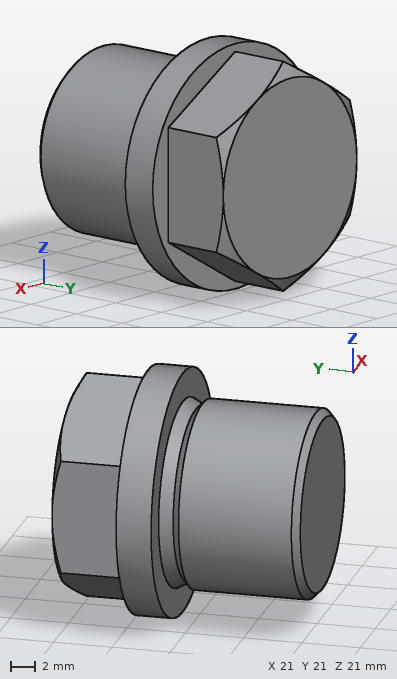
import cadquery as cq
import math

length = 21.0
flange_radius = 10.5
flange_thickness = 3.0
head_height = 6.0
across_flats = 17.0
head_chamfer_angle = 30.0
shank_radius = 8.0
chamfer = 0.6
undercut_taper_length = 1.1

tip_y = -length / 2
head_end_y = length / 2
flange_back_y = head_end_y - head_height
flange_front_y = flange_back_y - flange_thickness
undercut_y = flange_front_y - undercut_taper_length

small_radius = shank_radius - chamfer
corner_radius = across_flats / math.sqrt(3)


def revolve_about_y(profile):
    """Turn a closed (radius, y) outline around the Y axis."""
    return cq.Workplane("XY").polyline(profile).close().revolve(360, (0, 0, 0), (0, 1, 0))


def make_shank_and_flange():
    """Chamfered shank, V-shaped undercut and round flange."""
    return revolve_about_y([
        (0, tip_y),
        (small_radius, tip_y),
        (shank_radius, tip_y + chamfer),
        (shank_radius, undercut_y - chamfer),
        (small_radius, undercut_y),
        (shank_radius, flange_front_y),
        (flange_radius, flange_front_y),
        (flange_radius, flange_back_y),
        (0, flange_back_y),
    ])


def make_head():
    """Hexagon with corners on the Z axis, its outer end chamfered by a cone."""
    corners = []
    for i in range(6):
        angle = math.radians(90 + 60 * i)
        corners.append((corner_radius * math.cos(angle), corner_radius * math.sin(angle)))
    hexagon = (
        cq.Workplane("XZ", origin=(0, flange_back_y, 0))
        .polyline(corners)
        .close()
        .extrude(-head_height)
    )
    flat_radius = across_flats / 2
    cone_drop = (flange_radius - flat_radius) * math.tan(math.radians(head_chamfer_angle))
    envelope = revolve_about_y([
        (0, flange_back_y),
        (flange_radius, flange_back_y),
        (flange_radius, head_end_y - cone_drop),
        (flat_radius, head_end_y),
        (0, head_end_y),
    ])
    return hexagon.intersect(envelope)


result = make_shank_and_flange().union(make_head())